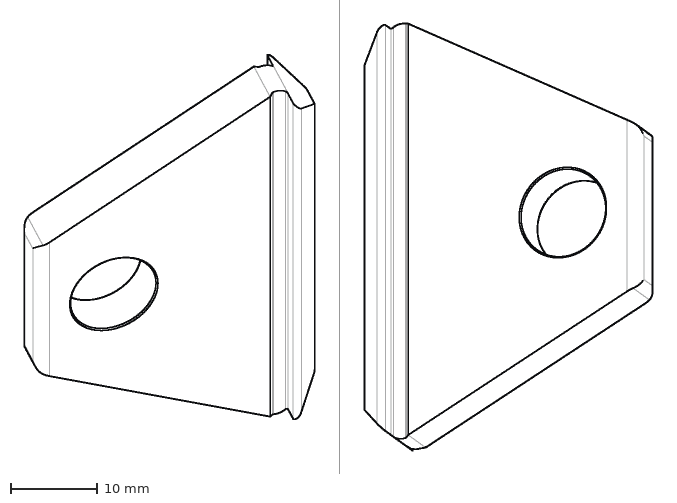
import cadquery as cq
import math

depth = 34.8
height = 50.05
half_height = height / 2

web_width = 5.6
nose_radius = 1.5
flank_angle = math.radians(28)

crest_y = -5.2
crest_radius = 1.95
rear_angle = math.radians(45)

rail_width = 9.7
rail_front_y = -3.85
rail_tip_radius = 0.5
rail_slope_angle = math.radians(41)
rear_edge_radius = 0.9

neck_width = 4.7
neck_fillet = 0.25
neck_front_y = -6.1

hole_diameter = 10.5
hole_mouth_diameter = 10.85
hole_y = -25.35


def crest_point(angle):
    """Return (Y, Z) on the crest arc, with the angle measured from its top toward the rear."""
    y = crest_y + crest_radius * math.sin(angle)
    z = half_height - crest_radius * (1 - math.cos(angle))
    return y, z


def make_side_profile():
    """Trapezoid with rounded crests in the YZ plane, extruded across the rail width."""
    flank_y, flank_z = crest_point(-flank_angle)
    rear_y, rear_z = crest_point(rear_angle)
    nose_z = flank_z - (flank_y + depth) * math.tan(flank_angle)
    rear_face_z = rear_z + rear_y * math.tan(rear_angle)
    body = (
        cq.Workplane("YZ")
        .moveTo(-depth, -nose_z)
        .lineTo(-depth, nose_z)
        .lineTo(flank_y, flank_z)
        .threePointArc((crest_y, half_height), (rear_y, rear_z))
        .lineTo(0, rear_face_z)
        .lineTo(0, -rear_face_z)
        .lineTo(rear_y, -rear_z)
        .threePointArc((crest_y, -half_height), (flank_y, -flank_z))
        .close()
        .extrude(rail_width / 2, both=True)
    )
    body = body.edges("|X and <Y").fillet(nose_radius)
    return body.edges("|X and >Y").fillet(rear_edge_radius)


def make_cross_section():
    """Dovetail, neck and round-nosed web in the XY plane, extruded over the full height."""
    half_web = web_width / 2
    half_neck = neck_width / 2
    half_rail = rail_width / 2

    chamfer_top_y = neck_front_y + (half_web - half_neck)
    blend_length = neck_fillet * math.tan(math.radians(22.5))
    blend_offset = blend_length * math.cos(math.radians(45))

    tip_x = half_rail - rail_tip_radius
    tip_y = rail_front_y + rail_tip_radius
    slope_x = tip_x + rail_tip_radius * math.sin(rail_slope_angle)
    slope_y = tip_y + rail_tip_radius * math.cos(rail_slope_angle)
    flat_half_width = slope_x + slope_y / math.tan(rail_slope_angle)

    half_section = (
        cq.Workplane("XY")
        .workplane(offset=-half_height)
        .moveTo(0, -depth)
        .lineTo(half_web - nose_radius, -depth)
        .radiusArc((half_web, -depth + nose_radius), -nose_radius)
        .lineTo(half_web, neck_front_y)
        .lineTo(half_neck + blend_offset, chamfer_top_y - blend_offset)
        .radiusArc((half_neck, chamfer_top_y + blend_length), neck_fillet)
        .lineTo(half_neck, rail_front_y - neck_fillet)
        .radiusArc((half_neck + neck_fillet, rail_front_y), neck_fillet)
        .lineTo(tip_x, rail_front_y)
        .threePointArc((half_rail, tip_y), (slope_x, slope_y))
        .lineTo(flat_half_width, 0)
        .lineTo(0, 0)
        .close()
        .extrude(height)
    )
    section = half_section.union(half_section.mirror("YZ")).clean()
    return section.edges("|Z and >Y").fillet(rear_edge_radius)


def make_hole_cutter():
    """Cylinder along X that widens conically at both faces of the web."""
    hole_radius = hole_diameter / 2
    mouth_radius = hole_mouth_diameter / 2
    half_web = web_width / 2
    straight_half_length = half_web - (mouth_radius - hole_radius)
    return (
        cq.Workplane("XY")
        .moveTo(-half_web, 0)
        .lineTo(-half_web, mouth_radius)
        .lineTo(-straight_half_length, hole_radius)
        .lineTo(straight_half_length, hole_radius)
        .lineTo(half_web, mouth_radius)
        .lineTo(half_web, 0)
        .close()
        .revolve(360, (0, 0, 0), (1, 0, 0))
        .translate((0, hole_y, 0))
    )


result = make_side_profile().intersect(make_cross_section()).cut(make_hole_cutter())